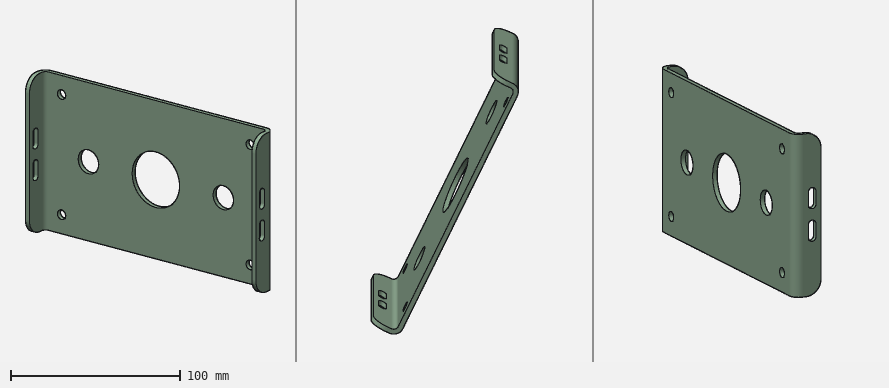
import cadquery as cq

width = 171.0
depth = 18.0
height = 100.0
thickness = 3.0
bend_radius = 6.0
flange_corner_radius = 10.0

center_hole_diameter = 35.0
side_hole_diameter = 15.0
side_hole_spacing = 100.0
mount_hole_diameter = 6.0
mount_spacing_x = 139.9
mount_spacing_z = 76.0

slot_length = 13.0
slot_width = 5.0
slot_spacing = 20.0
slot_from_back = 12.0

back_y = depth / 2
front_y = -depth / 2


def bent_channel():
    """U-shaped sheet, open toward -Y, with rounded bends."""
    outer = cq.Workplane("XY").box(width, depth, height)
    outer = outer.edges("|Z and >Y").fillet(bend_radius)
    inner = cq.Workplane("XY").box(width - 2 * thickness, depth, height)
    inner = inner.edges("|Z and >Y").fillet(bend_radius - thickness)
    return outer.cut(inner.translate((0, -thickness, 0)))


def web_holes(points, diameter):
    """Cylinders along Y through the web at the given (x, z) points."""
    plane = cq.Workplane("XZ", origin=(0, back_y, 0))
    return plane.pushPoints(points).circle(diameter / 2).extrude(thickness)


def flange_slots():
    """Slots along Z that pass through both flanges."""
    slot_y = back_y - slot_from_back
    centers = [(slot_y, side * slot_spacing / 2) for side in (-1, 1)]
    plane = cq.Workplane("YZ").pushPoints(centers)
    return plane.slot2D(slot_length, slot_width, 90).extrude(width / 2, both=True)


mount_points = [
    (x_side * mount_spacing_x / 2, z_side * mount_spacing_z / 2)
    for x_side in (-1, 1)
    for z_side in (-1, 1)
]
side_points = [(side * side_hole_spacing / 2, 0) for side in (-1, 1)]

front_corners = cq.selectors.BoxSelector(
    (-width, front_y - thickness, -height),
    (width, front_y + thickness, height),
)
result = bent_channel().edges("|X").edges(front_corners).fillet(flange_corner_radius)

result = result.cut(web_holes([(0, 0)], center_hole_diameter))
result = result.cut(web_holes(side_points, side_hole_diameter))
result = result.cut(web_holes(mount_points, mount_hole_diameter))
result = result.cut(flange_slots())